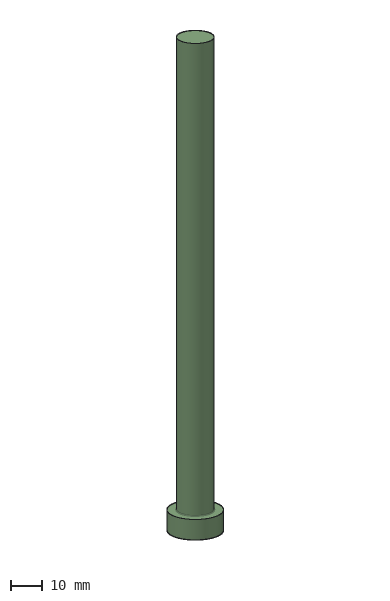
import cadquery as cq

SHANK_DIAMETER = 12.0
HEAD_DIAMETER = 18.0
HEAD_HEIGHT = 7.0
SHANK_LENGTH = 160.0
FILLET_RADIUS = 0.2


def pin_profile():
    """Half section of the pin in the XZ plane, head at the bottom."""
    shank_radius = SHANK_DIAMETER / 2
    head_radius = HEAD_DIAMETER / 2
    total_height = HEAD_HEIGHT + SHANK_LENGTH
    return (
        cq.Workplane("XZ")
        .lineTo(head_radius, 0)
        .lineTo(head_radius, HEAD_HEIGHT)
        .lineTo(shank_radius + FILLET_RADIUS, HEAD_HEIGHT)
        .radiusArc((shank_radius, HEAD_HEIGHT + FILLET_RADIUS), FILLET_RADIUS)
        .lineTo(shank_radius, total_height)
        .lineTo(0, total_height)
        .close()
    )


result = pin_profile().revolve(360, (0, 0, 0), (0, 1, 0))